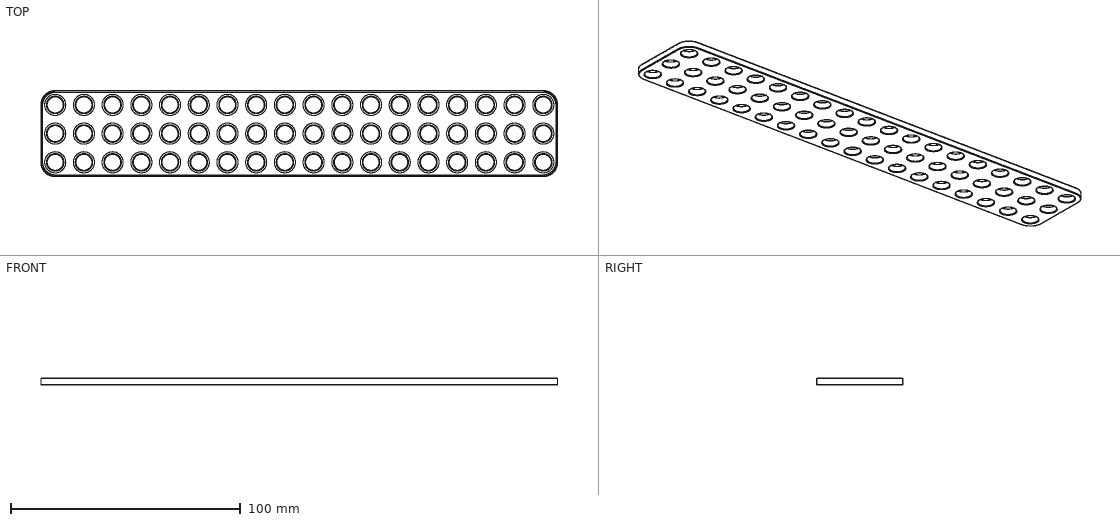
import cadquery as cq

pitch = 12.5
columns = 18
rows = 3
hole_diameter = 7.0
hole_rim_diameter = 9.2
edge_rim_width = 0.8
recess_depth = 0.2
chamfer = 0.3

length = columns * pitch
width = rows * pitch
thickness = pitch / 4
corner_radius = pitch / 2
top_z = thickness / 2
recess_floor_z = top_z - recess_depth


def rounded_slab(inset, height):
    """Round-cornered slab centred on the origin, inset from the plate outline."""
    slab = cq.Workplane("XY").box(length - 2 * inset, width - 2 * inset, height)
    return slab.edges("|Z").fillet(corner_radius - inset)


def hole_grid():
    """Workplane holding the centre of every grid cell."""
    return cq.Workplane("XY").rarray(pitch, pitch, columns, rows)


def make_plate():
    """Plain plate with its top and bottom outlines chamfered."""
    return rounded_slab(0, thickness).faces("<Z or >Z").edges().chamfer(chamfer)


def make_recess_cutter():
    """Shallow top recess that leaves a rim along the outline and a ring around each hole."""
    recess = rounded_slab(edge_rim_width, recess_depth)
    rings = hole_grid().circle(hole_rim_diameter / 2).extrude(recess_depth, both=True)
    return recess.cut(rings).translate((0, 0, recess_floor_z + recess_depth / 2))


def make_hole_cutters():
    """Through holes with a chamfered mouth at both ends, one in every grid cell."""
    radius = hole_diameter / 2
    mouth_radius = radius + chamfer
    throat_z = top_z - chamfer
    profile = (
        cq.Workplane("XZ")
        .moveTo(0, -top_z)
        .lineTo(mouth_radius, -top_z)
        .lineTo(radius, -throat_z)
        .lineTo(radius, throat_z)
        .lineTo(mouth_radius, top_z)
        .lineTo(0, top_z)
        .close()
    )
    cutter = profile.revolve(360, (0, 0, 0), (0, 1, 0)).val()
    return hole_grid().eachpoint(lambda place: cutter.moved(place))


result = make_plate().cut(make_recess_cutter()).cut(make_hole_cutters())